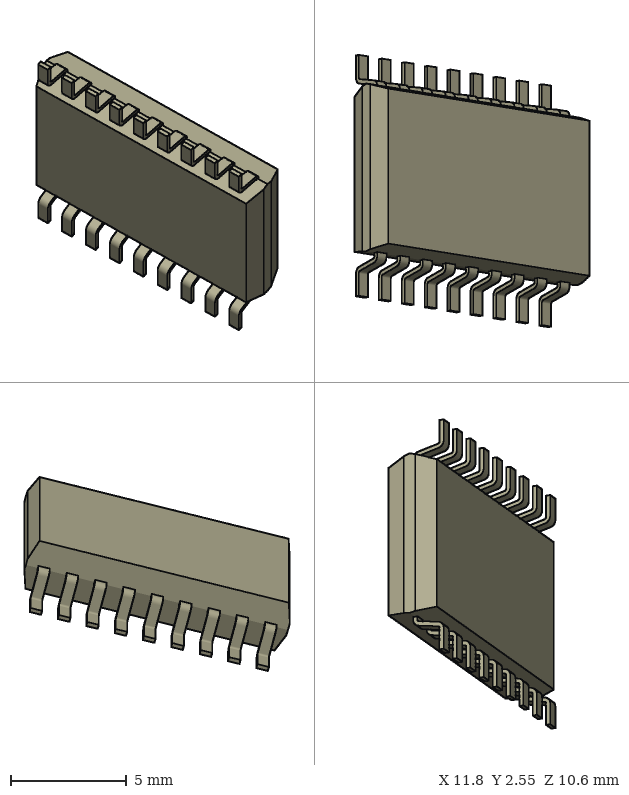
import cadquery as cq
import math

housing_length = 11.75
housing_thickness = 2.35
face_height = 6.84
side_band = 0.55
side_draft = 18.0
top_draft = 18.0
bottom_draft = 9.0

leads_per_row = 9
fixed_per_row = 7
row_span = 10.16
lead_width = 0.52
lead_thickness = 0.2
bend_radius = 0.1
shank_lean = 11.8
overall_depth = 2.55
overall_height = 10.63
foot_length = 0.99

foot_front = -overall_depth / 2
foot_end = overall_height / 2

half_thickness = housing_thickness / 2
face_top = face_height / 2
housing_mid_y = foot_front + lead_thickness + half_thickness
housing_front = housing_mid_y - half_thickness
housing_back = housing_mid_y + half_thickness
top_ridge = face_top + half_thickness * math.tan(math.radians(top_draft))
bottom_ridge = -face_top - half_thickness * math.tan(math.radians(bottom_draft))

pitch = row_span / (leads_per_row - 1)
lead_places = [i * pitch - row_span / 2 for i in range(leads_per_row)]

root_front = housing_mid_y - lead_thickness / 2
root_back = root_front + lead_thickness
foot_back = foot_front + lead_thickness
outer_radius = bend_radius + lead_thickness
lean = math.radians(shank_lean)

foot_bend = (foot_front + outer_radius, foot_end - foot_length)
root_bend_y = root_front - bend_radius
bend_rise = (bend_radius + outer_radius + (root_bend_y - foot_bend[0]) * math.sin(lean)) / math.cos(lean)
root_bend = (root_bend_y, foot_bend[1] - bend_rise)


def make_housing_block():
    """Molded block: every side tapers toward the front and back faces."""
    half_length = housing_length / 2
    half_band = side_band / 2
    side_inset = (half_thickness - half_band) * math.tan(math.radians(side_draft))
    half_face = half_length - side_inset
    plan = (
        cq.Workplane("XY", origin=(0, 0, bottom_ridge))
        .polyline([
            (-half_face, housing_front),
            (half_face, housing_front),
            (half_length, housing_mid_y - half_band),
            (half_length, housing_mid_y + half_band),
            (half_face, housing_back),
            (-half_face, housing_back),
            (-half_length, housing_mid_y + half_band),
            (-half_length, housing_mid_y - half_band),
        ])
        .close()
        .extrude(top_ridge - bottom_ridge)
    )
    end_section = (
        cq.Workplane("YZ")
        .polyline([
            (housing_front, -face_top),
            (housing_mid_y, bottom_ridge),
            (housing_back, -face_top),
            (housing_back, face_top),
            (housing_mid_y, top_ridge),
            (housing_front, face_top),
        ])
        .close()
        .extrude(half_length, both=True)
    )
    return plan.intersect(end_section)


def on_bend(center, radius, angle):
    """Point (Y, Z) at a distance and angle, in radians from +Y, around a bend centre."""
    return (center[0] + radius * math.cos(angle), center[1] + radius * math.sin(angle))


def make_lead(x, side):
    """Gull-wing lead centred at x; side is +1 for the upper row, -1 for the lower row.

    The root runs on inside the housing block to the height of its flat faces.
    """
    root_tangent = math.pi / 2 - lean
    root_middle = root_tangent / 2
    foot_tangent = root_tangent + math.pi
    foot_middle = (foot_tangent + math.pi) / 2
    lead = (
        cq.Workplane("YZ", origin=(x, 0, 0))
        .moveTo(root_back, face_top)
        .lineTo(root_back, root_bend[1])
        .threePointArc(
            on_bend(root_bend, outer_radius, root_middle),
            on_bend(root_bend, outer_radius, root_tangent),
        )
        .lineTo(*on_bend(foot_bend, bend_radius, foot_tangent))
        .threePointArc(
            on_bend(foot_bend, bend_radius, foot_middle),
            on_bend(foot_bend, bend_radius, math.pi),
        )
        .lineTo(foot_back, foot_end)
        .lineTo(foot_front, foot_end)
        .lineTo(foot_front, foot_bend[1])
        .threePointArc(
            on_bend(foot_bend, outer_radius, foot_middle),
            on_bend(foot_bend, outer_radius, foot_tangent),
        )
        .lineTo(*on_bend(root_bend, bend_radius, root_tangent))
        .threePointArc(
            on_bend(root_bend, bend_radius, root_middle),
            on_bend(root_bend, bend_radius, 0),
        )
        .lineTo(root_front, face_top)
        .close()
        .extrude(lead_width / 2, both=True)
    )
    if side < 0:
        lead = lead.mirror("XY")
    return lead


def make_housing(block):
    """Block in one piece with its fixed leads in both rows."""
    housing = block
    for side in (1, -1):
        for x in lead_places[:fixed_per_row]:
            housing = housing.union(make_lead(x, side))
    return housing


def make_loose_lead(block, x, side):
    """Separate lead whose root butts against the outside of the block."""
    return make_lead(x, side).cut(block)


housing_block = make_housing_block()
housing = make_housing(housing_block)

loose_leads = [
    make_loose_lead(housing_block, x, side)
    for side in (1, -1)
    for x in lead_places[fixed_per_row:]
]

result = cq.Compound.makeCompound([housing.val(), *[lead.val() for lead in loose_leads]])